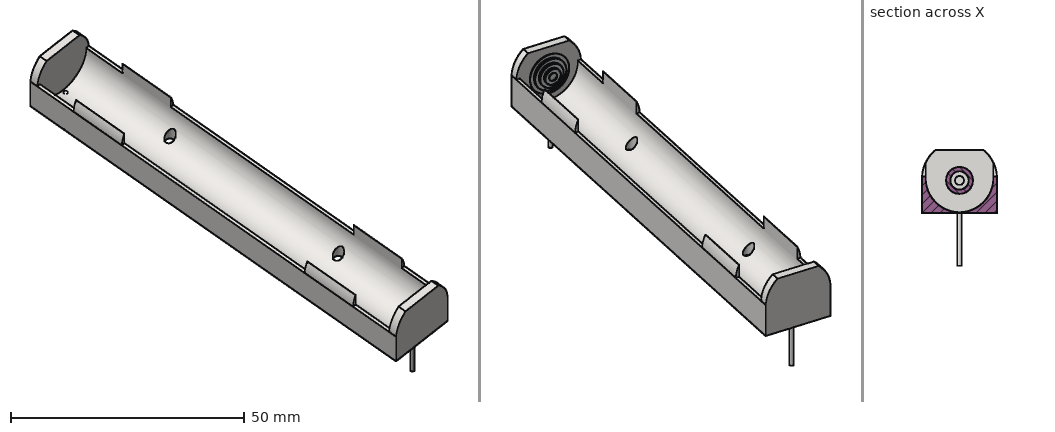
import cadquery as cq
import math

length = 107.8
width = 16.2
rim_height = 7.9
end_height = 13.6
end_thickness = 2.0
end_inner_x = length / 2 - end_thickness

crown_radius = width / 2
crown_centre_z = 7.3

trough_radius = 7.2
trough_centre_z = 7.4

clip_height = 10.9
clip_length = 14.2
clip_spacing = 68.1

hole_diameter = 2.5
hole_spacing_x = 49.6
hole_spacing_y = 9.5

pin_diameter = 1.0
pin_length = 11.3
pin_spacing = 102.2
pin_tip_diameter = 0.9

ring_axis_z = 7.0
ring_diameters = [9.7, 7.8, 5.8, 3.9]
ring_width = 1.0
ring_pitch = 0.5
ring_thickness = ring_pitch / 2


def crowned_bar(x_start, bar_length, top_z):
    """Bar along X with straight sides and a rounded crown cut flat at top_z."""
    side_y = width / 2
    rise = top_z - crown_centre_z
    top_y = math.sqrt(crown_radius**2 - rise**2)
    half_angle = math.atan2(rise, top_y) / 2
    mid_y = crown_radius * math.cos(half_angle)
    mid_z = crown_centre_z + crown_radius * math.sin(half_angle)
    return (
        cq.Workplane("YZ", origin=(x_start, 0, 0))
        .moveTo(-side_y, 0)
        .lineTo(side_y, 0)
        .lineTo(side_y, crown_centre_z)
        .threePointArc((mid_y, mid_z), (top_y, top_z))
        .lineTo(-top_y, top_z)
        .threePointArc((-mid_y, mid_z), (-side_y, crown_centre_z))
        .close()
        .extrude(bar_length)
    )


def make_trough_cutter():
    """Round-bottomed channel between the end walls, with upright sides."""
    return (
        cq.Workplane("YZ", origin=(-end_inner_x, 0, 0))
        .moveTo(-trough_radius, end_height)
        .lineTo(-trough_radius, trough_centre_z)
        .threePointArc((0, trough_centre_z - trough_radius), (trough_radius, trough_centre_z))
        .lineTo(trough_radius, end_height)
        .close()
        .extrude(2 * end_inner_x)
    )


def make_pins():
    """Round pins with chamfered tips, hanging from the housing floor."""
    return (
        cq.Workplane("XY")
        .pushPoints([(-pin_spacing / 2, 0), (pin_spacing / 2, 0)])
        .circle(pin_diameter / 2)
        .extrude(-pin_length)
        .faces("<Z")
        .chamfer((pin_diameter - pin_tip_diameter) / 2)
    )


def make_housing():
    """Open trough with two end walls, four side clips, drain holes and solder pins."""
    body = cq.Workplane("XY").box(length, width, rim_height, centered=(True, True, False))
    for x_start in (-length / 2, end_inner_x):
        body = body.union(crowned_bar(x_start, end_thickness, end_height))
    for x_centre in (-clip_spacing / 2, clip_spacing / 2):
        body = body.union(crowned_bar(x_centre - clip_length / 2, clip_length, clip_height))
    body = body.cut(make_trough_cutter())
    drain_holes = (
        cq.Workplane("XY")
        .rect(hole_spacing_x, hole_spacing_y, forConstruction=True)
        .vertices()
        .circle(hole_diameter / 2)
        .extrude(rim_height)
    )
    return body.cut(drain_holes).union(make_pins())


def make_contact_ring(diameter, front_x):
    """Flat ring on the cell axis whose exposed face lies at front_x."""
    return (
        cq.Workplane("YZ", origin=(front_x, 0, ring_axis_z))
        .circle(diameter / 2)
        .circle(diameter / 2 - ring_width)
        .extrude(ring_thickness)
    )


housing = make_housing()
contact_rings = [
    make_contact_ring(diameter, end_inner_x - step * ring_pitch)
    for step, diameter in enumerate(ring_diameters, start=1)
]

result = cq.Compound.makeCompound([housing.val(), *[ring.val() for ring in contact_rings]])